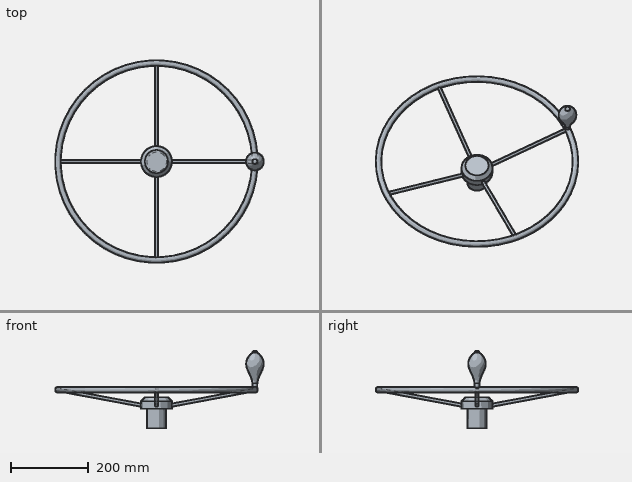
import cadquery as cq
import math

shaft_diameter = 50.0
shaft_height = 50.0
collar_diameter = 80.0
hub_height = 80.0
collar_chamfer = 10.0

rim_outer_diameter = 523.0
rim_thickness = 15.0
rim_height = 99.5
rim_radius = (rim_outer_diameter - rim_thickness) / 2

spoke_count = 4
spoke_diameter = 8.5
spoke_hub_height = 60.0

overall_length = 538.5
overall_height = 200.0
pin_diameter = 13.0
grip_bottom = 116.0
grip_bottom_radius = 7.0
grip_top = 195.0
grip_top_radius = 6.5
belly_height = 168.0
belly_radius = overall_length - rim_outer_diameter / 2 - rim_radius
waist_height = 137.5
waist_radius = 13.0
shoulder_height = 184.0
shoulder_radius = 17.0
cap_diameter = 13.0
cap_bulge = 1.9


def make_hub():
    shaft = cq.Workplane("XY").circle(shaft_diameter / 2).extrude(shaft_height)
    collar = (
        cq.Workplane("XY", origin=(0, 0, shaft_height))
        .circle(collar_diameter / 2)
        .extrude(hub_height - shaft_height)
        .faces(">Z")
        .chamfer(collar_chamfer)
    )
    return shaft.union(collar)


def make_half_rim(angle):
    """Half of the ring, its ends lying midway between two spokes."""
    section = cq.Workplane("XZ").center(rim_radius, rim_height).circle(rim_thickness / 2)
    half = section.revolve(180, (-rim_radius, 0), (-rim_radius, 1))
    return half.rotate((0, 0, 0), (0, 0, 1), angle + 180 / spoke_count)


def make_spoke(angle):
    """A bar from inside the collar to the middle of the rim section."""
    collar_radius = collar_diameter / 2
    run = rim_radius - collar_radius
    rise = rim_height - spoke_hub_height
    inner_radius = collar_radius / 2
    inner_height = spoke_hub_height - rise / run * (collar_radius - inner_radius)
    length = math.hypot(rim_radius - inner_radius, rim_height - inner_height)
    bar = cq.Solid.makeCylinder(
        spoke_diameter / 2,
        length,
        cq.Vector(inner_radius, 0, inner_height),
        cq.Vector(run, 0, rise),
    )
    return cq.Workplane(obj=bar).rotate((0, 0, 0), (0, 0, 1), angle)


def make_handle():
    pin = cq.Workplane("XY", origin=(0, 0, rim_height)).circle(pin_diameter / 2)
    pin = pin.extrude(grip_bottom - rim_height)
    grip = (
        cq.Workplane("XZ")
        .moveTo(0, grip_bottom)
        .lineTo(grip_bottom_radius, grip_bottom)
        .spline(
            [
                (waist_radius, waist_height),
                (belly_radius, belly_height),
                (shoulder_radius, shoulder_height),
                (grip_top_radius, grip_top),
            ],
            includeCurrent=True,
        )
        .lineTo(0, grip_top)
        .close()
        .revolve(360, (0, 0), (0, 1))
    )
    cap = (
        cq.Workplane("XZ")
        .moveTo(0, grip_top)
        .lineTo(cap_diameter / 2, grip_top)
        .sagittaArc((0, overall_height), -cap_bulge)
        .close()
        .revolve(360, (0, 0), (0, 1))
    )
    return pin.union(grip).union(cap).translate((rim_radius, 0, 0))


result = make_hub()
for index in range(spoke_count):
    result = result.union(make_spoke(index * 360 / spoke_count))
result = result.union(make_handle())
for half_angle in (0, 180):
    result = result.union(make_half_rim(half_angle), clean=False)